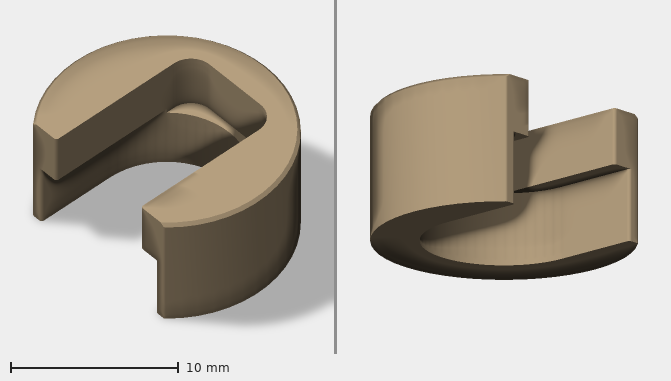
import cadquery as cq

outer_radius = 8.0
height = 8.0
flat_y = -5.5
rim_chamfer = 0.2

slot_width = 7.5
slot_end_y = 5.5
slot_corner_radius = 1.5
slot_floor_z = 4.2

channel_radius = 5.05
channel_height = 4.5

mouth_fillet = 0.2
outer_corner_fillet = 0.2

edge_margin = 0.08
cut_reach = 2 * outer_radius


def front_edges(half_width):
    """Box selecting edges on the flat front, within half_width of the middle."""
    return cq.selectors.BoxSelector(
        (-half_width, flat_y - edge_margin, -edge_margin),
        (half_width, flat_y + edge_margin, height + edge_margin),
    )


def make_body():
    """Disc with a flat front, rounded front corners and a chamfered top rim."""
    disc = cq.Workplane("XY").circle(outer_radius).extrude(height)
    front_waste = (
        cq.Workplane("XY")
        .rect(2 * cut_reach, cut_reach)
        .extrude(height)
        .translate((0, flat_y - cut_reach / 2, 0))
    )
    trimmed = disc.cut(front_waste)
    trimmed = trimmed.edges("|Z").edges(front_edges(outer_radius)).fillet(outer_corner_fillet)
    chamfered_disc = disc.faces(">Z").edges().chamfer(rim_chamfer)
    return trimmed.intersect(chamfered_disc)


def make_slot():
    """Straight slot with rounded inner corners."""
    length = slot_end_y + cut_reach
    return (
        cq.Workplane("XY")
        .box(slot_width, length, height - slot_floor_z, centered=(True, False, False))
        .translate((0, -cut_reach, slot_floor_z))
        .edges("|Z and >Y")
        .fillet(slot_corner_radius)
    )


def make_channel():
    """Round-ended channel rising from the underside."""
    round_end = cq.Workplane("XY").circle(channel_radius).extrude(channel_height)
    straight = (
        cq.Workplane("XY")
        .box(2 * channel_radius, cut_reach, channel_height, centered=(True, False, False))
        .translate((0, -cut_reach, 0))
    )
    return round_end.union(straight)


result = make_body().cut(make_slot()).cut(make_channel())
result = result.edges("|Z").edges(front_edges(channel_radius + edge_margin)).fillet(mouth_fillet)